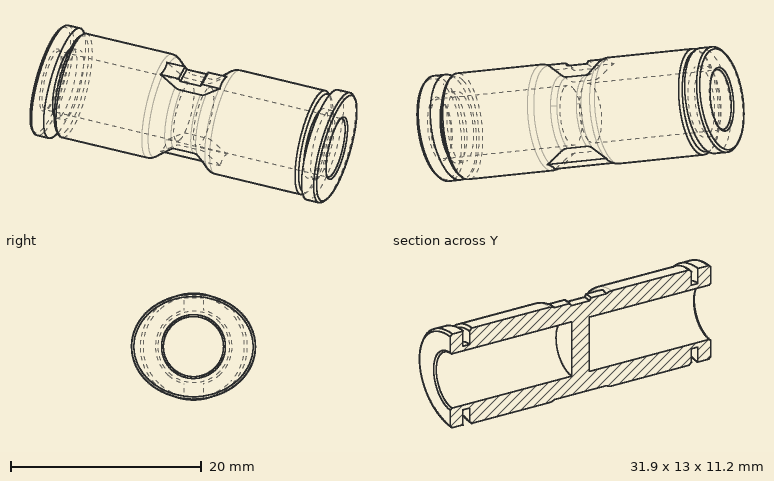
import cadquery as cq
import math

total_length = 31.9
half_length = total_length / 2

flange_width = 13.0
flange_height = 11.0
flange_thickness = 1.6
flange_chamfer = 0.25

collar_radius = 3.75
collar_length = 0.75

body_radius = 5.6
body_half_length = half_length - flange_thickness - collar_length
body_chamfer = 0.3
waist_radius = 4.0
waist_half_length = 1.45
cone_angle = 39.0
waist_fillet = 1.0
barrel_inner_end = waist_half_length + (body_radius - waist_radius) / math.tan(math.radians(cone_angle))

rib_width = 2.0
rib_top = 5.4
rib_half_length = barrel_inner_end + waist_fillet

notch_depth = 0.3
notch_floor_length = 2.2
notch_top_length = 2.6

bore_radius = 3.15
bore_chamfer = 0.2
wall_thickness = 2.2
bore_depth = half_length - wall_thickness / 2


def make_body():
    """Revolved barrels and waist, with rounded corners on the connecting cones."""
    body = (
        cq.Workplane("XY")
        .moveTo(-body_half_length, 0)
        .lineTo(-body_half_length, body_radius - body_chamfer)
        .lineTo(-body_half_length + body_chamfer, body_radius)
        .lineTo(-barrel_inner_end, body_radius)
        .lineTo(-waist_half_length, waist_radius)
        .lineTo(waist_half_length, waist_radius)
        .lineTo(barrel_inner_end, body_radius)
        .lineTo(body_half_length - body_chamfer, body_radius)
        .lineTo(body_half_length, body_radius - body_chamfer)
        .lineTo(body_half_length, 0)
        .close()
        .revolve(360, (0, 0, 0), (1, 0, 0))
    )
    corner_reach = barrel_inner_end + waist_fillet
    corner_zone = cq.selectors.BoxSelector(
        (-corner_reach, -body_radius, -body_radius),
        (corner_reach, body_radius, body_radius),
    )
    return body.edges("%CIRCLE").edges(corner_zone).fillet(waist_fillet)


def make_ribs():
    """One upright plate through the waist forms both ribs; its top edge is notched."""
    return (
        cq.Workplane("XZ")
        .moveTo(-rib_half_length, -rib_top)
        .lineTo(rib_half_length, -rib_top)
        .lineTo(rib_half_length, rib_top)
        .lineTo(notch_top_length / 2, rib_top)
        .lineTo(notch_floor_length / 2, rib_top - notch_depth)
        .lineTo(-notch_floor_length / 2, rib_top - notch_depth)
        .lineTo(-notch_top_length / 2, rib_top)
        .lineTo(-rib_half_length, rib_top)
        .close()
        .extrude(rib_width / 2, both=True)
    )


def make_release_end():
    """Flange and collar at the -X end; the collar just meets the body."""
    flange = (
        cq.Workplane("YZ")
        .workplane(offset=-half_length)
        .ellipse(flange_width / 2, flange_height / 2)
        .extrude(flange_thickness)
        .faces("<X")
        .edges()
        .chamfer(flange_chamfer)
    )
    collar = (
        cq.Workplane("YZ")
        .workplane(offset=-half_length + flange_thickness)
        .circle(collar_radius)
        .extrude(collar_length)
    )
    return flange.union(collar)


def make_bore():
    """Bore at the -X end, with a chamfered mouth."""
    mouth_radius = bore_radius + bore_chamfer
    return (
        cq.Workplane("XY")
        .moveTo(-half_length, 0)
        .lineTo(-half_length, mouth_radius)
        .lineTo(-half_length + bore_chamfer, bore_radius)
        .lineTo(-half_length + bore_depth, bore_radius)
        .lineTo(-half_length + bore_depth, 0)
        .close()
        .revolve(360, (0, 0, 0), (1, 0, 0))
    )


release_end = make_release_end()
bore = make_bore()

result = make_body().union(make_ribs())
result = result.union(release_end).union(release_end.mirror("YZ"))
result = result.cut(bore).cut(bore.mirror("YZ"))